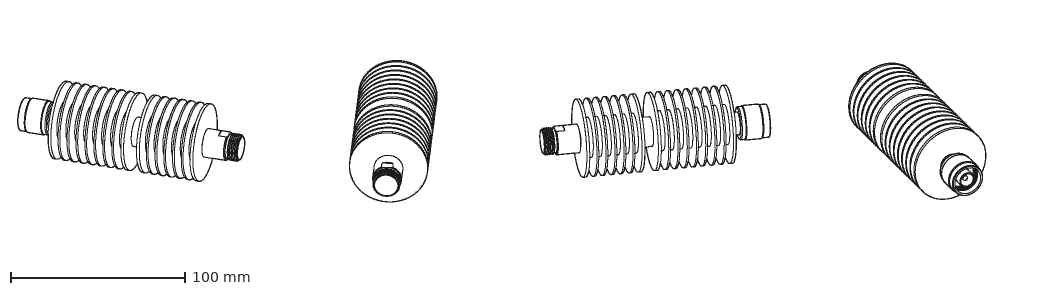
import cadquery as cq

OVERALL_LENGTH = 132.0

NUT_LENGTH = 17.3
NUT_RADIUS = 9.6
GRIP_RADIUS = 10.0
GRIP_START = 4.8
GRIP_END = 14.1
GRIP_FRONT_TAPER = 0.7
GRIP_REAR_TAPER = 0.4
NUT_REAR_CHAMFER_LENGTH = 0.7
NUT_REAR_CHAMFER_DEPTH = 0.5
NUT_FRONT_CHAMFER = 0.4
NUT_BORE_RADIUS = 8.2
NUT_SEAT_END = 14.5
NUT_THREAD_START = 4.0
NUT_THREAD_CREST_RADIUS = 7.7
NUT_THREAD_COUNT = 4
THREAD_PITCH = 1.0

PLUG_FLANGE_START = 9.9
PLUG_NECK_RADIUS = 6.6
PLUG_NECK_END = 22.0
PLUG_COLLAR_RADIUS = 6.1
SLEEVE_RADIUS = 4.6
SLEEVE_BORE_RADIUS = 4.0
SLEEVE_TIP = 1.0
PIN_RADIUS = 1.5
PIN_TIP_RADIUS = 0.3
PIN_TIP = 1.6
PIN_TAPER_LENGTH = 2.0

SINK_START = 22.7
FIN_RADIUS = 22.6
DRUM_RADIUS = 11.6
WAIST_RADIUS = 8.6
END_FIN_THICKNESS = 1.7
FIN_THICKNESS = 1.0
FRONT_FIN_GAP = 4.4
REAR_FIN_GAP = 4.2
FRONT_FIN_COUNT = 9
REAR_FIN_COUNT = 7
WAIST_LENGTH = 7.8

SOCKET_COLLAR_RADIUS = 5.4
SOCKET_COLLAR_LENGTH = 0.8
SOCKET_RADIUS = 8.3
SOCKET_BODY_END = 124.6
SOCKET_CHAMFER_LENGTH = 0.5
SOCKET_CHAMFER_DEPTH = 0.4
FLAT_START = 119.3
FLAT_HEIGHT = 7.7
SOCKET_NECK_RADIUS = 7.0
SOCKET_THREAD_START = 125.9
SOCKET_THREAD_COUNT = 5
SOCKET_THREAD_CREST_RADIUS = 7.8
SOCKET_THREAD_ROOT_RADIUS = 7.1
SOCKET_TIP_CHAMFER = 0.4


def drum_length(fin_count, fin_gap):
    inner_fins = fin_count - 2
    return 2 * END_FIN_THICKNESS + inner_fins * FIN_THICKNESS + (fin_count - 1) * fin_gap


def turned(profile):
    """Revolve a closed (x, radius) profile about the X axis."""
    return cq.Workplane("XY").polyline(profile).close().revolve(360, (0, 0, 0), (1, 0, 0))


def rod(start, end, radius):
    return cq.Workplane("YZ", origin=(start, 0, 0)).circle(radius).extrude(end - start)


def thread_ridges(start, count, root_radius, crest_radius):
    """Points of a row of V-shaped ridges, from root to root."""
    points = [(start, root_radius)]
    for index in range(count):
        ridge_start = start + index * THREAD_PITCH
        points.append((ridge_start + THREAD_PITCH / 2, crest_radius))
        points.append((ridge_start + THREAD_PITCH, root_radius))
    return points


def make_coupling_nut():
    outside = [
        (0, NUT_BORE_RADIUS),
        (0, NUT_RADIUS - NUT_FRONT_CHAMFER),
        (NUT_FRONT_CHAMFER, NUT_RADIUS),
        (GRIP_START - GRIP_FRONT_TAPER, NUT_RADIUS),
        (GRIP_START, GRIP_RADIUS),
        (GRIP_END, GRIP_RADIUS),
        (GRIP_END + GRIP_REAR_TAPER, NUT_RADIUS),
        (NUT_LENGTH - NUT_REAR_CHAMFER_LENGTH, NUT_RADIUS),
        (NUT_LENGTH, NUT_RADIUS - NUT_REAR_CHAMFER_DEPTH),
    ]
    inside = thread_ridges(NUT_THREAD_START, NUT_THREAD_COUNT, NUT_BORE_RADIUS, NUT_THREAD_CREST_RADIUS)
    inside += [
        (NUT_SEAT_END, NUT_BORE_RADIUS),
        (NUT_SEAT_END, PLUG_NECK_RADIUS),
        (NUT_LENGTH, PLUG_NECK_RADIUS),
    ]
    return turned(outside + inside[::-1])


def make_plug_body():
    return turned([
        (PIN_TIP, 0),
        (PIN_TIP, PIN_TIP_RADIUS),
        (PIN_TIP + PIN_TAPER_LENGTH, PIN_RADIUS),
        (PLUG_FLANGE_START, PIN_RADIUS),
        (PLUG_FLANGE_START, SLEEVE_BORE_RADIUS),
        (SLEEVE_TIP, SLEEVE_BORE_RADIUS),
        (SLEEVE_TIP, SLEEVE_RADIUS),
        (PLUG_FLANGE_START, SLEEVE_RADIUS),
        (PLUG_FLANGE_START, NUT_BORE_RADIUS),
        (NUT_SEAT_END, NUT_BORE_RADIUS),
        (NUT_SEAT_END, PLUG_NECK_RADIUS),
        (PLUG_NECK_END, PLUG_NECK_RADIUS),
        (PLUG_NECK_END, PLUG_COLLAR_RADIUS),
        (SINK_START, PLUG_COLLAR_RADIUS),
        (SINK_START, 0),
    ])


def make_finned_drum(start, fin_count, fin_gap):
    end = start + drum_length(fin_count, fin_gap)
    drum = rod(start, end, DRUM_RADIUS)
    drum = drum.union(rod(start, start + END_FIN_THICKNESS, FIN_RADIUS))
    drum = drum.union(rod(end - END_FIN_THICKNESS, end, FIN_RADIUS))
    first_inner_fin = start + END_FIN_THICKNESS + fin_gap
    for index in range(fin_count - 2):
        fin_start = first_inner_fin + index * (FIN_THICKNESS + fin_gap)
        drum = drum.union(rod(fin_start, fin_start + FIN_THICKNESS, FIN_RADIUS))
    return drum


front_drum_end = SINK_START + drum_length(FRONT_FIN_COUNT, FRONT_FIN_GAP)
rear_drum_start = front_drum_end + WAIST_LENGTH
sink_end = rear_drum_start + drum_length(REAR_FIN_COUNT, REAR_FIN_GAP)


def make_heat_sink():
    front_drum = make_finned_drum(SINK_START, FRONT_FIN_COUNT, FRONT_FIN_GAP)
    waist = rod(front_drum_end, rear_drum_start, WAIST_RADIUS)
    rear_drum = make_finned_drum(rear_drum_start, REAR_FIN_COUNT, REAR_FIN_GAP)
    return front_drum.union(waist).union(rear_drum)


def make_socket():
    body_start = sink_end + SOCKET_COLLAR_LENGTH
    profile = [
        (sink_end, 0),
        (sink_end, SOCKET_COLLAR_RADIUS),
        (body_start, SOCKET_COLLAR_RADIUS),
        (body_start, SOCKET_RADIUS),
        (SOCKET_BODY_END - SOCKET_CHAMFER_LENGTH, SOCKET_RADIUS),
        (SOCKET_BODY_END, SOCKET_RADIUS - SOCKET_CHAMFER_DEPTH),
        (SOCKET_BODY_END, SOCKET_NECK_RADIUS),
        (SOCKET_THREAD_START, SOCKET_NECK_RADIUS),
    ]
    profile += thread_ridges(
        SOCKET_THREAD_START, SOCKET_THREAD_COUNT, SOCKET_THREAD_ROOT_RADIUS, SOCKET_THREAD_CREST_RADIUS)
    profile += [
        (OVERALL_LENGTH - SOCKET_TIP_CHAMFER, SOCKET_THREAD_ROOT_RADIUS),
        (OVERALL_LENGTH, SOCKET_THREAD_ROOT_RADIUS - SOCKET_TIP_CHAMFER),
        (OVERALL_LENGTH, 0),
    ]
    return cut_wrench_flats(turned(profile))


def cut_wrench_flats(socket):
    """Mill the two opposite flats, above and below, at the end of the socket body."""
    length = SOCKET_BODY_END - FLAT_START
    depth = SOCKET_RADIUS - FLAT_HEIGHT
    for side in (-1, 1):
        cutter = cq.Workplane("XY").box(length, 2 * SOCKET_RADIUS, depth).translate(
            (FLAT_START + length / 2, 0, side * (FLAT_HEIGHT + depth / 2)))
        socket = socket.cut(cutter)
    return socket


coupling_nut = make_coupling_nut()
plug_body = make_plug_body()
heat_sink = make_heat_sink()
socket = make_socket()

result = cq.Compound.makeCompound([
    coupling_nut.val(),
    plug_body.val(),
    heat_sink.val(),
    socket.val(),
])